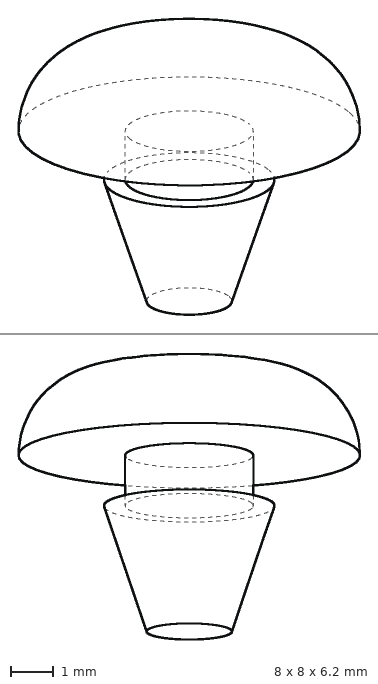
import cadquery as cq
import math

head_diameter = 8.0
head_height = 2.0
neck_diameter = 3.0
neck_length = 1.2
barb_base_diameter = 4.0
barb_tip_diameter = 2.0
barb_length = 3.0

head_radius = head_diameter / 2
neck_radius = neck_diameter / 2
barb_base_radius = barb_base_diameter / 2
barb_tip_radius = barb_tip_diameter / 2

barb_top = barb_length
head_bottom = barb_top + neck_length
head_top = head_bottom + head_height

edge_radius = head_height
flat_radius = head_radius - edge_radius
edge_middle = (
    flat_radius + edge_radius * math.cos(math.pi / 4),
    head_bottom + edge_radius * math.sin(math.pi / 4),
)

result = (
    cq.Workplane("XZ")
    .moveTo(0, 0)
    .lineTo(barb_tip_radius, 0)
    .lineTo(barb_base_radius, barb_top)
    .lineTo(neck_radius, barb_top)
    .lineTo(neck_radius, head_bottom)
    .lineTo(head_radius, head_bottom)
    .threePointArc(edge_middle, (flat_radius, head_top))
    .lineTo(0, head_top)
    .close()
    .revolve(360, (0, 0, 0), (0, 1, 0))
)